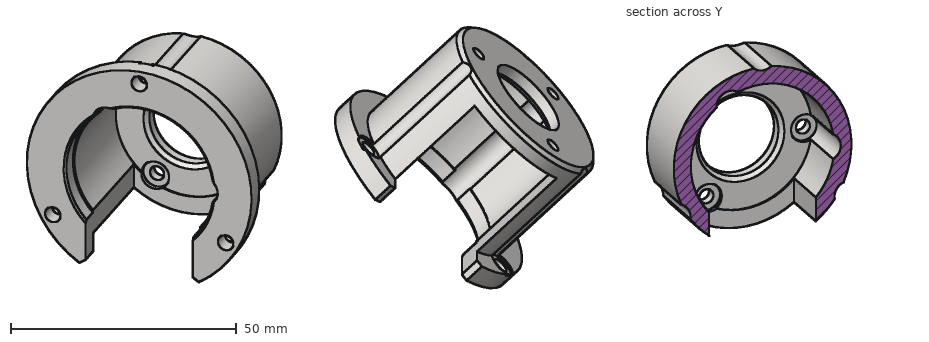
import cadquery as cq
import math

flange_radius = 26.65
flange_thickness = 4.85
barrel_radius = 21.25
total_length = 34.0
edge_chamfer = 1.0

bore_radius = 17.05
mouth_radius = 17.4
mouth_depth = 4.5
mouth_chamfer = 0.5
end_wall = 4.0
floor_recess = 0.25
center_hole_radius = 9.5

slot_half_width = 12.7
slot_corner_z = -21.6
slot_flare_x = 14.1
slot_flare_z = -22.55

head_radius = 3.25
wall_screw_radius = 1.65
wall_screw_circle = 15.35
wall_screw_angles = (0, 120, 240)
wall_head_recess = 1.0
flange_screw_radius = 1.8
flange_screw_circle = 23.65
flange_screw_angles = (90, 210, 330)
flange_head_recess = 0.55

slot_end_y = total_length - end_wall
floor_y = slot_end_y + floor_recess


def cylinder(radius, start, end, x=0.0, z=0.0):
    """Cylinder along Y between two Y positions."""
    axis_start = cq.Vector(x, start, z)
    return cq.Workplane(cq.Solid.makeCylinder(radius, end - start, axis_start, cq.Vector(0, 1, 0)))


def cone(start_radius, end_radius, start, end):
    """Cone frustum about the bushing axis."""
    axis_start = cq.Vector(0, start, 0)
    return cq.Workplane(
        cq.Solid.makeCone(start_radius, end_radius, end - start, axis_start, cq.Vector(0, 1, 0))
    )


def cylinders_on_circle(radius, circle_radius, angles, start, end):
    """Matching cylinders spaced around the bushing axis."""
    group = cq.Workplane()
    for angle in angles:
        x = circle_radius * math.cos(math.radians(angle))
        z = circle_radius * math.sin(math.radians(angle))
        group = group.add(cylinder(radius, start, end, x, z))
    return group.combine()


barrel = cylinder(barrel_radius, 0, total_length).faces(">Y").chamfer(edge_chamfer)
body = cylinder(flange_radius, 0, flange_thickness).union(barrel)

body = body.cut(cylinder(bore_radius, 0, floor_y))
body = body.cut(cylinder(mouth_radius, 0, mouth_depth))
body = body.cut(cone(mouth_radius + mouth_chamfer, mouth_radius, 0, mouth_chamfer))

body = body.cut(cylinder(center_hole_radius, 0, total_length))
body = body.cut(
    cone(center_hole_radius + edge_chamfer, center_hole_radius, floor_y, floor_y + edge_chamfer)
)

flare_slope = (slot_flare_z - slot_corner_z) / (slot_flare_x - slot_half_width)
exit_x = flange_radius
exit_z = slot_corner_z + flare_slope * (exit_x - slot_half_width)
slot_outline = [
    (-slot_half_width, 0),
    (slot_half_width, 0),
    (slot_half_width, slot_corner_z),
    (exit_x, exit_z),
    (-exit_x, exit_z),
    (-slot_half_width, slot_corner_z),
]
slot = cq.Workplane("XZ").polyline(slot_outline).close().extrude(-slot_end_y)
body = body.cut(slot)

body = body.cut(
    cylinders_on_circle(
        head_radius, wall_screw_circle, wall_screw_angles, 0, floor_y + wall_head_recess
    )
)
body = body.cut(
    cylinders_on_circle(wall_screw_radius, wall_screw_circle, wall_screw_angles, 0, total_length)
)

body = body.cut(
    cylinders_on_circle(
        head_radius,
        flange_screw_circle,
        flange_screw_angles,
        flange_thickness - flange_head_recess,
        total_length,
    )
)
body = body.cut(
    cylinders_on_circle(
        flange_screw_radius, flange_screw_circle, flange_screw_angles, 0, flange_thickness
    )
)

result = body